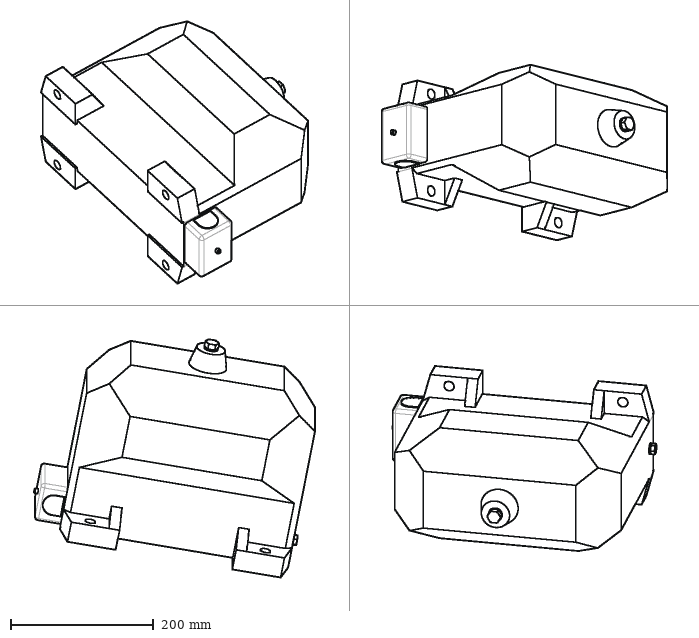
import cadquery as cq
import math


BODY_WIDTH = 325.0
BODY_LENGTH = 260.0
BODY_HEIGHT = 170.0
SIDE_FACE_HEIGHT = 87.5
SIDE_SLOPE_RUN = 63.0
BACK_SLOPE_RUN = 60.0
BACK_CORNER_CUT = 53.3
NECK_HEIGHT = 100.2
NECK_LENGTH = 97.0
NECK_SLOPE_RUN = 40.0

FOOT_WIDTH = 79.5
FOOT_DEPTH = 30.5
FOOT_OVERHANG = 3.0
FOOT_TAPER = 11.0
FOOT_HOLE_DIAMETER = 14.3
FOOT_HOLE_SPACING_X = 249.2
FOOT_HOLE_SPACING_Z = 140.0
RIB_WIDTH = 15.0
RIB_RUN = 19.5

CONE_BASE_DIAMETER = 53.3
CONE_TIP_DIAMETER = 40.5
CONE_LENGTH = 26.3
TERMINAL_BOLT_FLATS = 17.3
TERMINAL_WASHER_DIAMETER = 19.0
TERMINAL_BOLT_LENGTH = 10.0

EARTH_BOLT_FLATS = 13.5
EARTH_WASHER_DIAMETER = 15.8
EARTH_BOLT_LENGTH = 8.0
EARTH_BOLT_Y = 21.8

WASHER_THICKNESS = 2.3
HEAD_CHAMFER = 0.8

BOX_WIDTH = 37.0
BOX_DEPTH = 56.5
BOX_HEIGHT = 80.5
BOX_Y = 30.0
BOX_FILLET = 5.0
PAD_WIDTH = 27.8
PAD_DEPTH = 30.0
PAD_THICKNESS = 1.5
PAD_GAP = 2.3
PIN_DIAMETER = 6.8
PIN_LENGTH = 5.3
PIN_CHAMFER = 1.0

half_width = BODY_WIDTH / 2
half_height = BODY_HEIGHT / 2
half_side = SIDE_FACE_HEIGHT / 2
half_neck = NECK_HEIGHT / 2


def mirrored(solid, plane):
    """The solid together with its mirror image."""
    return solid.union(solid.mirror(plane))


def make_body():
    """Common volume of the side profile, the front profile and the plan outline."""
    neck_slope_end = NECK_LENGTH + NECK_SLOPE_RUN
    back_slope_start = BODY_LENGTH - BACK_SLOPE_RUN
    side_profile = (
        cq.Workplane("YZ", origin=(-half_width, 0, 0))
        .moveTo(0, 0)
        .lineTo(0, half_neck)
        .lineTo(NECK_LENGTH, half_neck)
        .lineTo(neck_slope_end, half_height)
        .lineTo(back_slope_start, half_height)
        .lineTo(BODY_LENGTH, half_side)
        .lineTo(BODY_LENGTH, 0)
        .mirrorX()
        .extrude(BODY_WIDTH)
    )
    top_half_width = half_width - SIDE_SLOPE_RUN
    front_profile = (
        cq.Workplane("XZ")
        .moveTo(-half_width, 0)
        .lineTo(-half_width, half_side)
        .lineTo(-top_half_width, half_height)
        .lineTo(top_half_width, half_height)
        .lineTo(half_width, half_side)
        .lineTo(half_width, 0)
        .mirrorX()
        .extrude(-BODY_LENGTH)
    )
    plan = (
        cq.Workplane("XY", origin=(0, BODY_LENGTH / 2, 0))
        .box(BODY_WIDTH, BODY_LENGTH, BODY_HEIGHT)
        .edges("|Z and >Y")
        .chamfer(BACK_CORNER_CUT)
    )
    return side_profile.intersect(front_profile).intersect(plan)


def make_foot():
    """Upper foot on the -X side, with its stiffening rib and mounting hole."""
    inner_x = FOOT_WIDTH - half_width
    foot = (
        cq.Workplane("XZ", origin=(0, -FOOT_OVERHANG, 0))
        .moveTo(-half_width, half_side)
        .lineTo(inner_x, half_side)
        .lineTo(inner_x, half_height)
        .lineTo(-half_width + FOOT_TAPER, half_height)
        .close()
        .extrude(-FOOT_DEPTH)
    )
    foot_back = FOOT_DEPTH - FOOT_OVERHANG
    rib = (
        cq.Workplane("YZ", origin=(inner_x - RIB_WIDTH, 0, 0))
        .moveTo(foot_back, half_side)
        .lineTo(foot_back + RIB_RUN, half_side)
        .lineTo(foot_back + RIB_RUN, half_neck)
        .lineTo(foot_back, half_height)
        .close()
        .extrude(RIB_WIDTH)
    )
    hole = (
        cq.Workplane("XZ", origin=(0, -FOOT_OVERHANG, 0))
        .center(-FOOT_HOLE_SPACING_X / 2, FOOT_HOLE_SPACING_Z / 2)
        .circle(FOOT_HOLE_DIAMETER / 2)
        .extrude(-FOOT_DEPTH)
    )
    return foot.union(rib).cut(hole)


def make_bolt(plane, flats, washer_diameter, length):
    """Washer and hexagon head with bevelled corners, rising along the plane normal."""
    corners = flats / math.cos(math.pi / 6)
    washer = cq.Workplane(plane).circle(washer_diameter / 2).extrude(WASHER_THICKNESS)
    head_plane = cq.Workplane(plane).workplane(offset=WASHER_THICKNESS)
    head_height = length - WASHER_THICKNESS
    bevel = head_plane.circle(corners / 2).extrude(head_height).edges().chamfer(HEAD_CHAMFER)
    head = head_plane.polygon(6, corners).extrude(head_height).intersect(bevel)
    return washer.union(head)


def make_terminal():
    """Tapered terminal on the back face, carrying a bolt."""
    cone = (
        cq.Workplane("XY")
        .moveTo(0, BODY_LENGTH)
        .lineTo(CONE_BASE_DIAMETER / 2, BODY_LENGTH)
        .lineTo(CONE_TIP_DIAMETER / 2, BODY_LENGTH + CONE_LENGTH)
        .lineTo(0, BODY_LENGTH + CONE_LENGTH)
        .close()
        .revolve(360, (0, 0, 0), (0, 1, 0))
    )
    tip = cq.Plane(origin=(0, BODY_LENGTH + CONE_LENGTH, 0), xDir=(1, 0, 0), normal=(0, 1, 0))
    bolt = make_bolt(tip, TERMINAL_BOLT_FLATS, TERMINAL_WASHER_DIAMETER, TERMINAL_BOLT_LENGTH)
    return cone.union(bolt)


def make_earth_bolt():
    """Small bolt on the -X side face."""
    seat = cq.Plane(origin=(-half_width, EARTH_BOLT_Y, 0), xDir=(0, 1, 0), normal=(-1, 0, 0))
    return make_bolt(seat, EARTH_BOLT_FLATS, EARTH_WASHER_DIAMETER, EARTH_BOLT_LENGTH)


def make_connection_box():
    """Rounded box with a D-shaped pad above and below and a pin on its end."""
    box = (
        cq.Workplane("XY", origin=(half_width + BOX_WIDTH / 2, BOX_Y, 0))
        .box(BOX_WIDTH, BOX_DEPTH, BOX_HEIGHT)
        .edges("|X or >X")
        .fillet(BOX_FILLET)
    )
    pad_radius = PAD_DEPTH / 2
    pad_straight = PAD_WIDTH - pad_radius
    pads_height = BOX_HEIGHT + 2 * PAD_THICKNESS
    pads = (
        cq.Workplane("XY", origin=(half_width + PAD_GAP, BOX_Y, -pads_height / 2))
        .moveTo(0, -pad_radius)
        .lineTo(pad_straight, -pad_radius)
        .threePointArc((PAD_WIDTH, 0), (pad_straight, pad_radius))
        .lineTo(0, pad_radius)
        .close()
        .extrude(pads_height)
    )
    pin = (
        cq.Workplane("YZ", origin=(half_width + BOX_WIDTH, BOX_Y, 0))
        .circle(PIN_DIAMETER / 2)
        .extrude(PIN_LENGTH)
        .faces(">X")
        .chamfer(PIN_CHAMFER)
    )
    return box.union(pads).union(pin)


feet = mirrored(mirrored(make_foot(), "YZ"), "XY")

result = (
    make_body()
    .union(feet)
    .union(make_terminal())
    .union(make_earth_bolt())
    .union(make_connection_box())
)